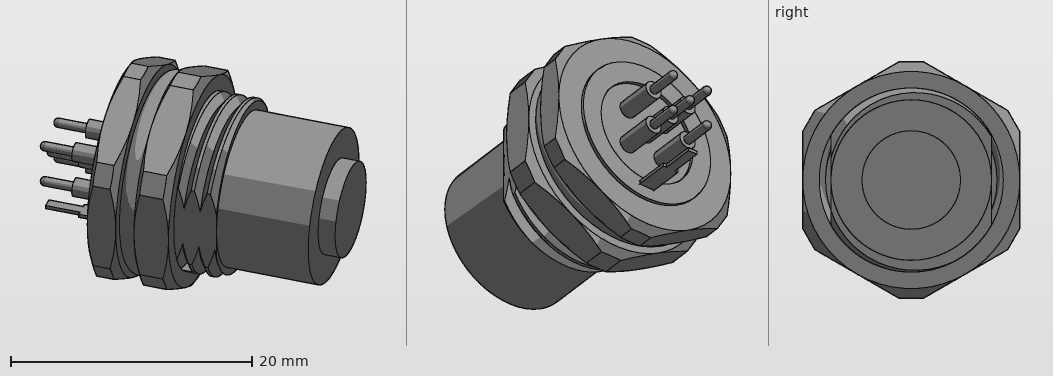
import cadquery as cq
import math

sleeve_start = 3.0
rear_face = 6.2
flange_rear = 6.5
flange_front = 8.98
nut_rear = 10.57
nut_front = 13.6
thread_end = 17.0
barrel_end = 25.02
total_length = 26.5

hex_across_flats = 18.0
hex_across_corners = 19.6
hex_chamfer_angle = 30.0

barrel_radius = 6.65
thread_radius = 7.63

thread_pitch = 1.4
groove_root_radius = 6.9
groove_width = 1.1
groove_start_x = 13.95
groove_start_angle = 225.0
groove_turns = 3.0
cutter_overshoot = 0.1

ring_outer_radius = 8.7
ring_section_radius = (nut_rear - flange_front) / 2
ring_center_radius = ring_outer_radius - ring_section_radius
ring_center_x = (nut_rear + flange_front) / 2
neck_radius = ring_center_radius - ring_section_radius

carrier_radius = 4.8
carrier_recess = 0.32
carrier_rear = rear_face + carrier_recess
carrier_front = flange_front
insert_radius = 4.08

contact_offset = 1.78
sleeve_radius = 0.8
pin_radius = 0.4
contact_places = [
    (0, 0),
    (contact_offset, contact_offset),
    (contact_offset, -contact_offset),
    (-contact_offset, contact_offset),
    (-contact_offset, -contact_offset),
]

tab_top = -5.22
tab_thickness = 0.32
tab_width = 1.5
tab_tip_width = 0.87
tab_end = flange_front


def cylinder(radius, x_start, x_end, y=0.0, z=0.0):
    """Cylinder along X between two stations."""
    return cq.Workplane("YZ", origin=(x_start, y, z)).circle(radius).extrude(x_end - x_start)


def block(x_start, x_end, width, height, z=0.0):
    """Box between two X stations, centred on Y = 0 and on the given Z."""
    return cq.Workplane("YZ", origin=(x_start, 0, z)).rect(width, height).extrude(x_end - x_start)


def hex_prism(across, x_start, x_end):
    """Hexagonal prism along X with two of its corners on the Z axis."""
    face = cq.Workplane("YZ", origin=(x_start, 0, 0)).polygon(6, across, circumscribed=True)
    return face.extrude(x_end - x_start)


def hex_blank(x_start, x_end):
    """Hexagon with flattened corners, both ends turned to a cone that meets the flats."""
    corner_trim = hex_prism(hex_across_corners, x_start, x_end).rotate((0, 0, 0), (1, 0, 0), 30)
    end_radius = hex_across_flats / 2
    corner_radius = hex_across_flats / math.sqrt(3)
    cone_length = (corner_radius - end_radius) * math.tan(math.radians(hex_chamfer_angle))
    envelope = (
        cq.Workplane("XY")
        .moveTo(x_start, 0)
        .lineTo(x_start, end_radius)
        .lineTo(x_start + cone_length, corner_radius)
        .lineTo(x_end - cone_length, corner_radius)
        .lineTo(x_end, end_radius)
        .lineTo(x_end, 0)
        .close()
        .revolve(360, (0, 0, 0), (1, 0, 0))
    )
    return hex_prism(hex_across_flats, x_start, x_end).intersect(corner_trim).intersect(envelope)


def thread_groove():
    """Helical V groove, swept around Z and then laid along X."""
    flank_slope = groove_width / 2 / (thread_radius - groove_root_radius)
    outer_radius = thread_radius + cutter_overshoot
    outer_half_width = groove_width / 2 + cutter_overshoot * flank_slope
    path = cq.Wire.makeHelix(
        thread_pitch, groove_turns * thread_pitch, groove_root_radius, lefthand=True
    )
    groove = (
        cq.Workplane("XZ")
        .moveTo(groove_root_radius, 0)
        .lineTo(outer_radius, -outer_half_width)
        .lineTo(outer_radius, outer_half_width)
        .close()
        .sweep(cq.Workplane(obj=path), isFrenet=True)
    )
    groove = groove.rotate((0, 0, 0), (1, 1, 1), 120)
    groove = groove.rotate((0, 0, 0), (1, 0, 0), groove_start_angle)
    return groove.translate((groove_start_x, 0, 0))


def threaded_shank():
    """Grooved cylinder with two flats; the groove runs out through its front end."""
    shank = cylinder(thread_radius, nut_rear, barrel_end).cut(thread_groove())
    return shank.intersect(block(nut_rear, thread_end, 2 * barrel_radius, 2 * hex_across_corners))


def ground_tab():
    """Flat tab with a narrower solder end."""
    z = tab_top - tab_thickness / 2
    root = block(sleeve_start, tab_end, tab_width, tab_thickness, z)
    return root.union(block(0, sleeve_start, tab_tip_width, tab_thickness, z))


def contact(y, z):
    """Sleeve with a thinner, round-nosed pin."""
    sleeve = cylinder(sleeve_radius, sleeve_start, carrier_rear, y, z)
    pin = cylinder(pin_radius, pin_radius, sleeve_start, y, z)
    nose = cq.Workplane("XY").sphere(pin_radius).translate((pin_radius, y, z))
    return sleeve.union(pin).union(nose)


def contact_carrier():
    """Disc carrying the five contacts on its rear face."""
    carrier = cylinder(carrier_radius, carrier_rear, carrier_front)
    for y, z in contact_places:
        carrier = carrier.union(contact(y, z))
    return carrier


def housing_shell():
    """Flanged, threaded housing bored for the carrier, the insert and the ground tab."""
    shell = cylinder(barrel_radius, rear_face, barrel_end)
    shell = shell.union(hex_blank(flange_rear, flange_front))
    shell = shell.union(cylinder(neck_radius, flange_front, nut_rear))
    shell = shell.union(threaded_shank())
    shell = shell.cut(cylinder(carrier_radius, rear_face, carrier_front))
    shell = shell.cut(cylinder(insert_radius, carrier_front, barrel_end))
    return shell.cut(ground_tab())


def hex_nut():
    """Nut with a plain bore at the thread's crest radius."""
    return hex_blank(nut_rear, nut_front).cut(cylinder(thread_radius, nut_rear, nut_front))


def sealing_ring():
    """O-ring around the housing neck."""
    return cq.Solid.makeTorus(
        ring_center_radius, ring_section_radius, cq.Vector(ring_center_x, 0, 0), cq.Vector(1, 0, 0)
    )


housing = housing_shell()
nut = hex_nut()
ring = sealing_ring()
carrier = contact_carrier()
insert = cylinder(insert_radius, carrier_front, total_length)
tab = ground_tab()

result = cq.Compound.makeCompound(
    [housing.val(), nut.val(), ring, carrier.val(), insert.val(), tab.val()]
)